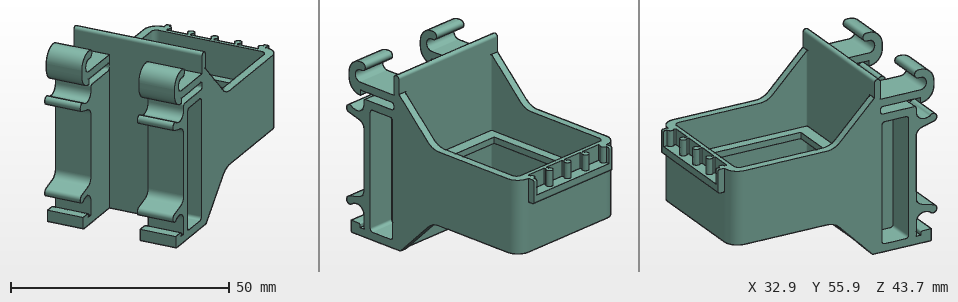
import cadquery as cq
import math

total_depth = 55.9
total_height = 43.7
width = 32.9

wall = 2.0
mid_height = 19.4

arm_gap = 14.65
arm_width = (width - arm_gap) / 2
arm_shift = (arm_width - width) / 2
arm_front = -9.45
slot_bottom = 34.7
slot_height = 1.9
slot_end_radius = 0.65
arm_corner_radius = 0.5

shelf_bottom = slot_bottom + slot_height
hook_y = -10.55
hook_outer_radius = 3.6
hook_inner_radius = hook_outer_radius - wall
hook_bottom = 35.3
hook_tip_length = 0.55

valley_radius = 2.2
valley_z = 33.3
jaw_tip_radius = 1.0
jaw_tip_y = -13.9
jaw_tip_z = 30.9
jaw_neck_radius = 0.7
jaw_slope = 15.0
jaw_root_radius = 2.0

foot_front = -13.45
foot_lug_length = 2.8
foot_lug_top = 3.0
foot_radius = 0.45

recess_back = -0.4
recess_front = arm_front + wall
recess_top = slot_bottom - wall
recess_corner_radius = 0.8
recess_depth = arm_width - wall

plate_thickness = 1.6
ring_height = 18.55
ring_bottom = mid_height - ring_height / 2
ring_top = mid_height + ring_height / 2
slope_foot_y = 12.2
slope_radius = 4.9
ring_corner_radius = 3.4

rack_back = total_depth + jaw_tip_y - jaw_tip_radius
rack_overhang = 1.7
ring_back = rack_back - rack_overhang
rack_width = 26.05
rack_height = 6.0
rack_floor_thickness = wall
rack_edge_radius = 0.45
groove_base_depth = 3.0
tooth_pitch = 6.05
tooth_head_radius = 0.85
tooth_head_offset = 1.3
tooth_neck_width = 0.85
tooth_columns = range(-2, 3)

ring_back_wall = 2.4
cavity_back = ring_back - ring_back_wall
cavity_rear_radius = 1.35
cavity_front_radius = 0.3
flange_thickness = 1.55
window_width = 24.15
window_front = 4.7
window_back = 34.7


def polar(center, radius, angle):
    """Point at an angle in degrees on a circle in the YZ plane."""
    turn = math.radians(angle)
    return (center[0] + radius * math.cos(turn), center[1] + radius * math.sin(turn))


def block(x_size, y_range, z_range):
    """Box centred on X = 0."""
    y_size = y_range[1] - y_range[0]
    z_size = z_range[1] - z_range[0]
    corner = (-x_size / 2, y_range[0], z_range[0])
    return cq.Workplane("XY").box(x_size, y_size, z_size, centered=False).translate(corner)


def side_plane():
    """YZ sketch plane on the -X side of the part."""
    return cq.Workplane("YZ", origin=(-width / 2, 0, 0))


def make_body():
    """Solid body with 45 degree slopes down to the ring, and a rounded upright lip."""
    lip_radius = plate_thickness / 2
    lip_side_top = total_height - lip_radius
    body = (
        side_plane()
        .moveTo(0, 0)
        .lineTo(slope_foot_y - ring_bottom, 0)
        .lineTo(slope_foot_y, ring_bottom)
        .lineTo(ring_back, ring_bottom)
        .lineTo(ring_back, ring_top)
        .lineTo(slope_foot_y, ring_top)
        .lineTo(plate_thickness, ring_top + slope_foot_y - plate_thickness)
        .lineTo(plate_thickness, lip_side_top)
        .threePointArc((lip_radius, total_height), (0, lip_side_top))
        .close()
        .extrude(width)
    )
    for z in (ring_bottom, ring_top):
        slope_edge = cq.selectors.NearestToPointSelector((0, slope_foot_y, z))
        body = body.edges(slope_edge).fillet(slope_radius)
    return body.edges("|Z and >Y").fillet(ring_corner_radius)


def make_cavity():
    """Space inside the ring, split into two by a flange with a window."""
    inner_width = width - 2 * wall
    cavity = block(inner_width, (plate_thickness, cavity_back), (0, total_height))
    cavity = cavity.edges("|Z and >Y").fillet(cavity_rear_radius)
    cavity = cavity.edges("|Z and <Y").fillet(cavity_front_radius)
    flange_z = (mid_height - flange_thickness / 2, mid_height + flange_thickness / 2)
    flange = block(width, (0, ring_back), flange_z)
    window = block(window_width, (window_front, window_back), flange_z)
    return cavity.cut(flange.cut(window))


def make_rack():
    """Block on the back of the ring, from the bottom of the grooves outwards."""
    groove_base = rack_back - groove_base_depth
    rack = block(rack_width, (groove_base, rack_back), (ring_top - rack_height, ring_top))
    return rack.edges("|X and >Y").fillet(rack_edge_radius)


def make_rack_grooves():
    """Space between the round-headed teeth, open at the top and closed by a floor."""
    groove_base = rack_back - groove_base_depth
    floor_z = ring_top - rack_height + rack_floor_thickness
    depth = ring_top - floor_z
    head_y = groove_base + tooth_head_offset
    grooves = block((len(tooth_columns) - 1) * tooth_pitch, (groove_base, rack_back), (floor_z, ring_top))
    for column in tooth_columns:
        x = column * tooth_pitch
        head = cq.Workplane("XY", origin=(x, head_y, floor_z)).circle(tooth_head_radius).extrude(depth)
        neck = block(tooth_neck_width, (groove_base, head_y), (floor_z, ring_top)).translate((x, 0, 0))
        grooves = grooves.cut(head).cut(neck)
    return grooves


def make_arm_block():
    """Upright arm with a recess in its outer side."""
    arm = block(arm_width, (arm_front, 0), (0, slot_bottom)).translate((arm_shift, 0, 0))
    arm = arm.edges("|X and >Z and <Y").fillet(arm_corner_radius)
    recess = (
        side_plane()
        .center((recess_front + recess_back) / 2, (wall + recess_top) / 2)
        .rect(recess_back - recess_front, recess_top - wall)
        .extrude(recess_depth)
        .edges("|X")
        .fillet(recess_corner_radius)
    )
    return arm.cut(recess)


def make_hook():
    """Shelf that ends in an upward hook with a round tip."""
    upper_center = (hook_y, total_height - hook_outer_radius)
    lower_center = (hook_y, hook_bottom + hook_outer_radius)
    hook_tip_y = hook_y + hook_tip_length
    tip_radius = wall / 2
    return (
        side_plane()
        .moveTo(0, shelf_bottom)
        .lineTo(hook_y, shelf_bottom)
        .lineTo(hook_y, hook_bottom)
        .threePointArc(
            polar(lower_center, hook_outer_radius, 225),
            polar(lower_center, hook_outer_radius, 180),
        )
        .lineTo(*polar(upper_center, hook_outer_radius, 180))
        .threePointArc(polar(upper_center, hook_outer_radius, 135), (hook_y, total_height))
        .lineTo(hook_tip_y, total_height)
        .threePointArc(
            (hook_tip_y + tip_radius, total_height - tip_radius),
            (hook_tip_y, total_height - wall),
        )
        .lineTo(hook_y, total_height - wall)
        .threePointArc(
            polar(upper_center, hook_inner_radius, 180),
            polar(upper_center, hook_inner_radius, 270),
        )
        .lineTo(0, upper_center[1] - hook_inner_radius)
        .close()
        .extrude(arm_width)
    )


def make_slot_rounding():
    """Fill between arm and shelf that rounds the closed end of the slot."""
    fill = block(arm_width, (-slot_end_radius, 0), (slot_bottom, shelf_bottom))
    slot = block(arm_width, (arm_front, 0), (slot_bottom, shelf_bottom))
    slot = slot.edges("|X and >Y").fillet(slot_end_radius)
    return fill.cut(slot).translate((arm_shift, 0, 0))


def make_jaw():
    """Upper jaw: a round valley, a sloped tongue of even thickness and a round bulging tip."""
    valley = (arm_front - valley_radius, valley_z)
    tip = (jaw_tip_y, jaw_tip_z)
    slope = math.radians(jaw_slope)
    up_angle = 90 - jaw_slope
    down_angle = up_angle + 180
    outward_angle = up_angle + 90

    tongue_start = polar(valley, valley_radius, down_angle)
    to_tip = (tip[0] - tongue_start[0], tip[1] - tongue_start[1])
    tip_along = to_tip[1] * math.sin(slope) - to_tip[0] * math.cos(slope)
    tip_below = -to_tip[0] * math.sin(slope) - to_tip[1] * math.cos(slope)
    neck_to_tip = math.sqrt((jaw_neck_radius + jaw_tip_radius) ** 2 - (jaw_neck_radius + tip_below) ** 2)
    neck_start = polar(tongue_start, tip_along - neck_to_tip, outward_angle)
    neck = polar(neck_start, jaw_neck_radius, up_angle)
    neck_end_angle = math.degrees(math.atan2(tip[1] - neck[1], tip[0] - neck[0])) % 360
    neck_mid_angle = (down_angle + neck_end_angle) / 2
    tip_mid_angle = (neck_end_angle - 180 + down_angle) / 2

    underside_start = polar(tip, jaw_tip_radius, down_angle)
    root_y = arm_front - jaw_root_radius
    offset_y, offset_z = polar(underside_start, jaw_root_radius, down_angle)
    root = (root_y, offset_z - (root_y - offset_y) * math.tan(slope))

    return (
        side_plane()
        .moveTo(arm_front, valley_z)
        .threePointArc(polar(valley, valley_radius, (down_angle - 360) / 2), tongue_start)
        .lineTo(*neck_start)
        .threePointArc(
            polar(neck, jaw_neck_radius, neck_mid_angle),
            polar(neck, jaw_neck_radius, neck_end_angle),
        )
        .threePointArc(polar(tip, jaw_tip_radius, tip_mid_angle), underside_start)
        .lineTo(*polar(root, jaw_root_radius, up_angle))
        .threePointArc(polar(root, jaw_root_radius, up_angle / 2), polar(root, jaw_root_radius, 0))
        .close()
        .extrude(arm_width)
    )


def make_foot():
    """Toe at the bottom of the arm with a raised lug at its front end."""
    lug_back = foot_front + foot_lug_length
    foot = (
        side_plane()
        .moveTo(arm_front, 0)
        .lineTo(foot_front, 0)
        .lineTo(foot_front, foot_lug_top)
        .lineTo(lug_back, foot_lug_top)
        .lineTo(lug_back, wall)
        .lineTo(arm_front, wall)
        .close()
        .extrude(arm_width)
    )
    for y, z in ((foot_front, 0), (lug_back, foot_lug_top)):
        rounded_edge = cq.selectors.NearestToPointSelector((arm_shift, y, z))
        foot = foot.edges(rounded_edge).fillet(foot_radius)
    return foot


def make_arm():
    """Complete clip arm on the -X side."""
    upper_jaw = make_jaw()
    lower_jaw = upper_jaw.mirror("XY", (0, 0, mid_height))
    arm = make_arm_block().union(make_hook()).union(make_slot_rounding())
    return arm.union(upper_jaw).union(lower_jaw).union(make_foot())


frame = make_body().union(make_rack()).cut(make_rack_grooves()).cut(make_cavity())
left_arm = make_arm()
right_arm = left_arm.mirror("YZ")
result = frame.union(left_arm).union(right_arm)